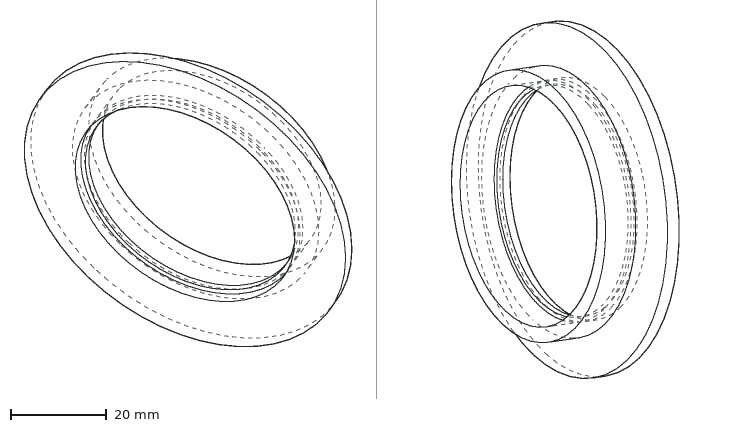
import cadquery as cq
import math

length = 12.7
flange_diameter = 75.0
rim_thickness = 3.0
clamp_angle = 15.0
shoulder_diameter = 59.6
tube_diameter = 57.5

recess_diameter = 51.2
recess_depth = 2.6
land_diameter = 49.0
land_width = 1.5
bore_diameter = 51.0

flange_radius = flange_diameter / 2
shoulder_radius = shoulder_diameter / 2
tube_radius = tube_diameter / 2
recess_radius = recess_diameter / 2
land_radius = land_diameter / 2
bore_radius = bore_diameter / 2

cone_height = (flange_radius - shoulder_radius) * math.tan(math.radians(clamp_angle))

front = -length / 2
back = length / 2
rim_back = front + rim_thickness
shoulder = rim_back + cone_height
land_front = front + recess_depth
land_back = land_front + land_width

outer_profile = [
    (flange_radius, front),
    (flange_radius, rim_back),
    (shoulder_radius, shoulder),
    (tube_radius, shoulder),
    (tube_radius, back),
]
inner_profile = [
    (bore_radius, back),
    (bore_radius, land_back),
    (land_radius, land_back),
    (land_radius, land_front),
    (recess_radius, land_front),
    (recess_radius, front),
]

half_section = cq.Workplane("XY").polyline(outer_profile + inner_profile).close()
result = half_section.revolve(360, (0, 0, 0), (0, 1, 0))